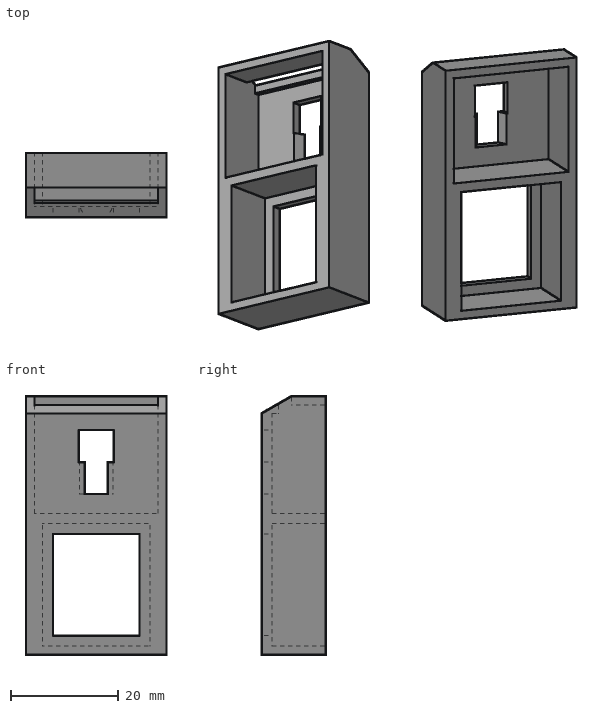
import cadquery as cq

width = 26.3
depth = 12.0
height = 48.25
bevel_depth = 5.55
bevel_height = 3.2

plate_thickness = 2.0
wall = 1.65

window_width = 16.05
window_bottom = 3.6
window_top = 22.55
chamber_margin = 2.0

upper_floor = 26.35
slot_lip_back = 3.15

keyhole_width = 6.5
keyhole_top = 41.95
keyhole_step = 35.95
keyhole_bottom = 30.0
neck_width = 4.2
neck_flare = 1.0


def centered_box(size_x, y_start, y_end, z_start, z_end):
    """Box centred on the part's width."""
    return cq.Workplane("XY").box(
        size_x, y_end - y_start, z_end - z_start, centered=(True, False, False)
    ).translate((width / 2, y_start, z_start))


def make_body():
    """Block with a bevel along its upper front edge."""
    return (
        cq.Workplane("YZ")
        .moveTo(0, 0)
        .lineTo(depth, 0)
        .lineTo(depth, height)
        .lineTo(bevel_depth, height)
        .lineTo(0, height - bevel_height)
        .close()
        .extrude(width)
    )


def make_lower_opening():
    """Front window with its chamber open at the back."""
    window = centered_box(window_width, 0, depth, window_bottom, window_top)
    chamber = centered_box(
        window_width + 2 * chamber_margin,
        plate_thickness,
        depth,
        window_bottom - chamber_margin,
        window_top + chamber_margin,
    )
    return window.union(chamber)


def make_upper_opening():
    """Back chamber with a thicker lip under the bevel, and the slot above the lip."""
    chamber_width = width - 2 * wall
    ceiling = height - wall
    bevel_start = height - bevel_height
    chamber = centered_box(chamber_width, plate_thickness, depth, upper_floor, bevel_start)
    behind_lip = centered_box(chamber_width, slot_lip_back, depth, bevel_start, ceiling)
    slot = centered_box(chamber_width, 0, bevel_depth, ceiling, height)
    return chamber.union(behind_lip).union(slot)


def make_keyhole():
    """Wide upper part and flared neck, both through the front plate."""
    head = centered_box(keyhole_width, 0, plate_thickness, keyhole_step, keyhole_top)
    front_half = neck_width / 2
    back_half = front_half + neck_flare
    neck = (
        cq.Workplane("XY")
        .polyline([
            (-front_half, 0),
            (front_half, 0),
            (back_half, plate_thickness),
            (-back_half, plate_thickness),
        ])
        .close()
        .extrude(keyhole_step - keyhole_bottom)
        .translate((width / 2, 0, keyhole_bottom))
    )
    return head.union(neck)


result = (
    make_body()
    .cut(make_lower_opening())
    .cut(make_upper_opening())
    .cut(make_keyhole())
)